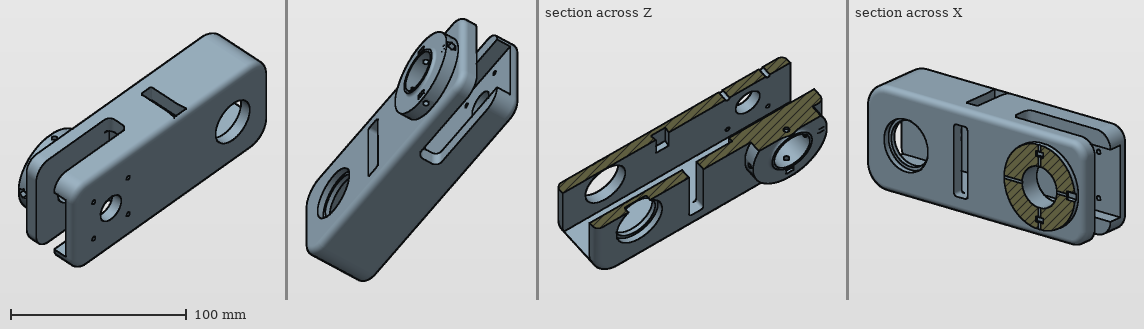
import cadquery as cq
import math

body_width = 40.0
body_length = 160.0
body_height = 64.0
front_corner_radius = 10.0
rear_corner_radius = 15.0
edge_fillet = 4.0

wall = 7.0
roof = 10.0
cavity_width = body_width - 2 * wall
cavity_height = body_height - 2 * roof
pad_thickness = 3.0
pad_face_x = wall + pad_thickness

fork_length = 60.0
fork_width = 14.0
fork_corner_radius = 4.0

pivot_y = 30.0
ring_diameter = 52.0
ring_height = 8.0
ring_flat_radius = 25.8
hub_diameter = 28.0
hub_height = 2.0
bore_diameter = 25.0
shaft_hole_diameter = 17.0

screw_diameter = 3.2
screw_axis_x = -4.5
nut_pocket_width = 5.4
nut_pocket_height = 2.9
hex_socket_width = 5.7
hex_socket_floor_radius = 20.0
nut_radius = 20.0
nut_pocket_depth = ring_height + screw_axis_x + nut_pocket_width / 2

mount_diameter = 2.7
mount_circle_radius = 20.0
mount_count = 4

bearing_y = body_length - 30.0
bearing_seat_diameter = 32.0
bearing_seat_depth = 4.0
bearing_hole_diameter = 28.0

strap_y = 90.0
side_slot_width = 10.0
side_slot_corner_radius = 2.0
roof_slot_width = 8.3
roof_slot_corner_radius = 1.0
recess_floor_width = 10.0
recess_depth = 4.0
flare_length = 6.0
recess_bottom_z = 2.0


def box(x0, x1, y0, y1, z0, z1):
    """Box between the given limits."""
    return cq.Workplane("XY").box(x1 - x0, y1 - y0, z1 - z0, centered=False).translate((x0, y0, z0))


def x_cylinder(diameter, x0, x1, y, z=0.0):
    """Cylinder along X between x0 and x1."""
    return cq.Workplane("YZ", origin=(x0, y, z)).circle(diameter / 2).extrude(x1 - x0)


def make_body():
    """Solid bar with rounded end corners and rounded side edges."""
    half_height = body_height / 2
    bar = box(0, body_width, 0, body_length, -half_height, half_height)
    bar = bar.edges("|X and <Y").fillet(front_corner_radius)
    bar = bar.edges("|X and >Y").fillet(rear_corner_radius)
    return bar.faces("<X or >X").edges().fillet(edge_fillet)


def make_cavity():
    """Full-length cavity, narrowed by the pad on the left wall along the fork."""
    half_height = cavity_height / 2
    right_x = wall + cavity_width
    front = box(pad_face_x, right_x, 0, fork_length, -half_height, half_height)
    rear = box(wall, right_x, fork_length, body_length, -half_height, half_height)
    return front.union(rear)


def make_fork_slot():
    """Slot through roof and floor, open at the front, with rounded inner corners."""
    half_height = body_height / 2
    slot = box(pad_face_x, pad_face_x + fork_width, 0, fork_length, -half_height, half_height)
    return slot.edges("|Z and >Y").fillet(fork_corner_radius)


def make_ring():
    """Clamp ring with four small flats, and the hub with its concave foot."""
    ring = x_cylinder(ring_diameter, -ring_height, 0, pivot_y)
    ring = ring.intersect(
        box(-ring_height, 0, pivot_y - ring_flat_radius, pivot_y + ring_flat_radius,
            -ring_flat_radius, ring_flat_radius)
    )
    hub_radius = hub_diameter / 2
    hub_top_x = -ring_height - hub_height
    foot_mid = hub_height * (1 - math.sqrt(0.5))
    hub = (
        cq.Workplane("XY")
        .moveTo(0, 0)
        .lineTo(hub_top_x, 0)
        .lineTo(hub_top_x, hub_radius)
        .threePointArc((-ring_height - foot_mid, hub_radius + foot_mid),
                       (-ring_height, hub_radius + hub_height))
        .lineTo(0, hub_radius + hub_height)
        .close()
        .revolve(360, (0, 0, 0), (1, 0, 0))
        .translate((0, pivot_y, 0))
    )
    return ring.union(hub)


def make_pivot_bores():
    """Wide bore through the ring and left wall, and the shaft hole in the right wall."""
    bore = x_cylinder(bore_diameter, -ring_height - hub_height, pad_face_x, pivot_y)
    shaft_hole = x_cylinder(shaft_hole_diameter, wall + cavity_width, body_width, pivot_y)
    return bore.union(shaft_hole)


def make_mount_holes():
    """Ring of small holes through the right wall around the shaft hole."""
    step_angle = 360 / mount_count
    holes = cq.Workplane("XY")
    for index in range(mount_count):
        angle = math.radians((index + 0.5) * step_angle)
        y = pivot_y + mount_circle_radius * math.cos(angle)
        z = mount_circle_radius * math.sin(angle)
        holes = holes.union(x_cylinder(mount_diameter, wall + cavity_width, body_width, y, z))
    return holes


def make_screw_holes():
    """Crossed screw holes through the ring, a hex nut socket in front, and two side-loaded nut pockets."""
    half_ring = ring_diameter / 2
    screw_radius = screw_diameter / 2
    vertical = (
        cq.Workplane("XY", origin=(screw_axis_x, pivot_y, -half_ring))
        .circle(screw_radius)
        .extrude(ring_diameter)
    )
    front_plane = cq.Plane(origin=(screw_axis_x, pivot_y - half_ring, 0), xDir=(1, 0, 0), normal=(0, 1, 0))
    lengthwise = cq.Workplane(front_plane).circle(screw_radius).extrude(ring_diameter)
    hex_corner_diameter = hex_socket_width / math.cos(math.radians(30))
    hex_socket = (
        cq.Workplane(front_plane)
        .polygon(6, hex_corner_diameter)
        .extrude(half_ring - hex_socket_floor_radius)
        .rotate((screw_axis_x, 0, 0), (screw_axis_x, 1, 0), 90)
    )
    cuts = vertical.union(lengthwise).union(hex_socket)
    for nut_z in (-nut_radius, nut_radius):
        pocket = box(
            -ring_height, -ring_height + nut_pocket_depth,
            pivot_y - nut_pocket_width / 2, pivot_y + nut_pocket_width / 2,
            nut_z - nut_pocket_height / 2, nut_z + nut_pocket_height / 2,
        )
        cuts = cuts.union(pocket)
    return cuts


def make_bearing_bores():
    """Seat in the left wall and a smaller hole through both walls."""
    seat = x_cylinder(bearing_seat_diameter, 0, bearing_seat_depth, bearing_y)
    return seat.union(x_cylinder(bearing_hole_diameter, 0, body_width, bearing_y))


def make_strap_slots():
    """Slot in the left wall, slot in the roof, and an undercut recess inside the right wall."""
    half_cavity = cavity_height / 2
    half_body = body_height / 2
    half_side = side_slot_width / 2
    half_roof = roof_slot_width / 2
    right_x = wall + cavity_width
    side = box(0, wall, strap_y - half_side, strap_y + half_side, -half_cavity, half_cavity)
    side = side.edges("|X").fillet(side_slot_corner_radius)
    top = box(pad_face_x, right_x, strap_y - half_roof, strap_y + half_roof, half_cavity, half_body)
    top = top.edges("|Z and <X").fillet(roof_slot_corner_radius)
    floor_x = right_x + recess_depth
    flare_x = floor_x - flare_length
    recess = (
        cq.Workplane("XY", origin=(0, strap_y, recess_bottom_z))
        .moveTo(flare_x, -half_roof)
        .lineTo(floor_x, -recess_floor_width / 2)
        .lineTo(floor_x, recess_floor_width / 2)
        .lineTo(flare_x, half_roof)
        .close()
        .extrude(half_body - recess_bottom_z)
    )
    return side.union(top).union(recess)


result = (
    make_body()
    .cut(make_cavity())
    .cut(make_fork_slot())
    .union(make_ring())
    .cut(make_pivot_bores())
    .cut(make_mount_holes())
    .cut(make_screw_holes())
    .cut(make_bearing_bores())
    .cut(make_strap_slots())
)